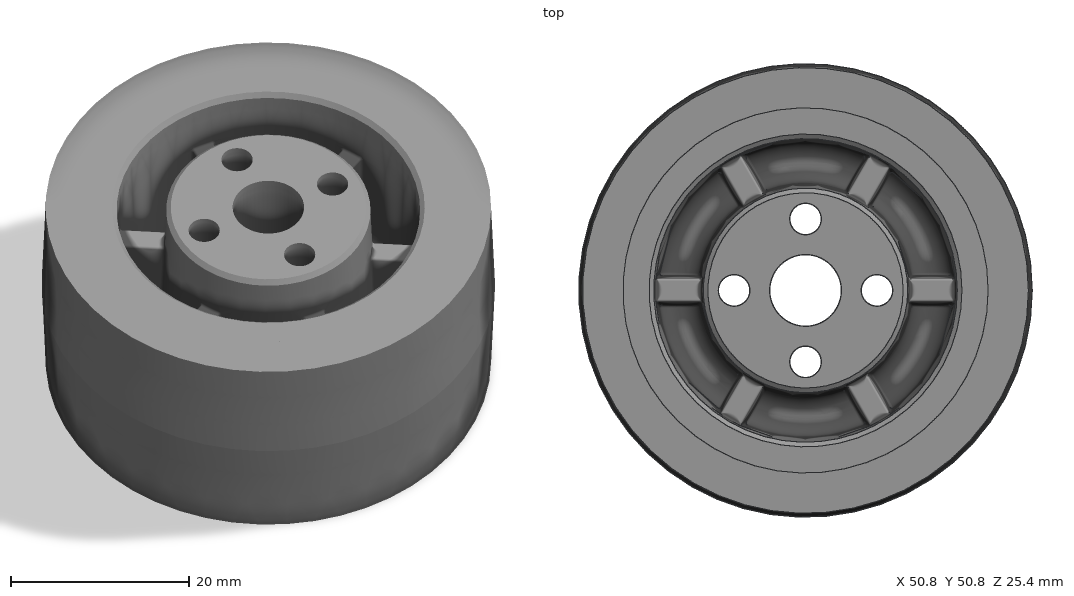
import cadquery as cq
import math

tolerance = 0.001

width = 25.4
draft = math.tan(math.radians(2))

tire_radius = 25.4
tire_edge_radius = tire_radius - draft * width / 2
hub_radius = 20.45

web_thickness = width / 4
pocket_depth = width - web_thickness
pocket_outer_radius = 17.02
boss_radius = 11.43
floor_fillet = 2.0
mouth_chamfer = 0.5

axle_diameter = 8.0
bolt_diameter = 3.5
bolt_count = 4
bolt_circle_radius = 8.0

rib_count = 6
rib_top_z = width - width / 4
rib_top_width = 2.54
rib_height = rib_top_z - web_thickness
rib_base_width = rib_top_width + 2 * draft * rib_height
rib_fillet = 0.25


def make_tire():
    """Ring with a double-tapered tread around a plain cylindrical bore."""
    profile = (
        cq.Workplane("XZ")
        .moveTo(hub_radius, 0)
        .lineTo(tire_edge_radius, 0)
        .lineTo(tire_radius, width / 2)
        .lineTo(tire_edge_radius, width)
        .lineTo(hub_radius, width)
        .close()
    )
    return profile.revolve(360, (0, 0), (0, 1))


def make_pocket():
    """Drafted ring-shaped cutter with a rounded floor."""
    narrowing = draft * pocket_depth
    profile = (
        cq.Workplane("XZ")
        .moveTo(boss_radius, width)
        .lineTo(boss_radius + narrowing, web_thickness)
        .lineTo(pocket_outer_radius - narrowing, web_thickness)
        .lineTo(pocket_outer_radius, width)
        .close()
    )
    ring = profile.revolve(360, (0, 0), (0, 1))
    return ring.faces("<Z").edges().fillet(floor_fillet)


def make_rib(angle):
    """Bar with drafted sides, spanning the pocket in the direction of the angle."""
    section = (
        cq.Workplane("YZ", origin=(boss_radius, 0, 0))
        .moveTo(-rib_base_width / 2, web_thickness)
        .lineTo(-rib_top_width / 2, rib_top_z)
        .lineTo(rib_top_width / 2, rib_top_z)
        .lineTo(rib_base_width / 2, web_thickness)
        .close()
    )
    bar = section.extrude(pocket_outer_radius - boss_radius)
    return bar.rotate((0, 0, 0), (0, 0, 1), angle)


def is_rib_edge(edge):
    """True for edges around a rib's top and for its upright corners with the pocket walls."""
    box = edge.BoundingBox()
    reaches_rib_top = abs(box.zmax - rib_top_z) < tolerance
    stays_above_floor = box.zmin > web_thickness + tolerance
    return reaches_rib_top and stays_above_floor


def make_hub():
    """Disc with a ribbed annular pocket, leaving a central boss with its bores."""
    pocket = make_pocket()
    for i in range(rib_count):
        pocket = pocket.cut(make_rib(i * 360 / rib_count))
    hub = cq.Workplane("XY").circle(hub_radius).extrude(width).cut(pocket)

    rib_edges = [edge for edge in hub.edges().vals() if is_rib_edge(edge)]
    hub = hub.newObject(rib_edges).fillet(rib_fillet)

    mouth_radii = (boss_radius, pocket_outer_radius)
    mouth_edges = [
        edge
        for edge in hub.faces(">Z").edges("%CIRCLE").vals()
        if min(abs(edge.radius() - radius) for radius in mouth_radii) < tolerance
    ]
    hub = hub.newObject(mouth_edges).chamfer(mouth_chamfer)

    axle_bore = cq.Workplane("XY").circle(axle_diameter / 2).extrude(width)
    bolt_holes = (
        cq.Workplane("XY")
        .polarArray(bolt_circle_radius, 0, 360, bolt_count)
        .circle(bolt_diameter / 2)
        .extrude(width)
    )
    return hub.cut(axle_bore).cut(bolt_holes)


tire = make_tire()
hub = make_hub()
result = cq.Compound.makeCompound([tire.val(), *hub.vals()])